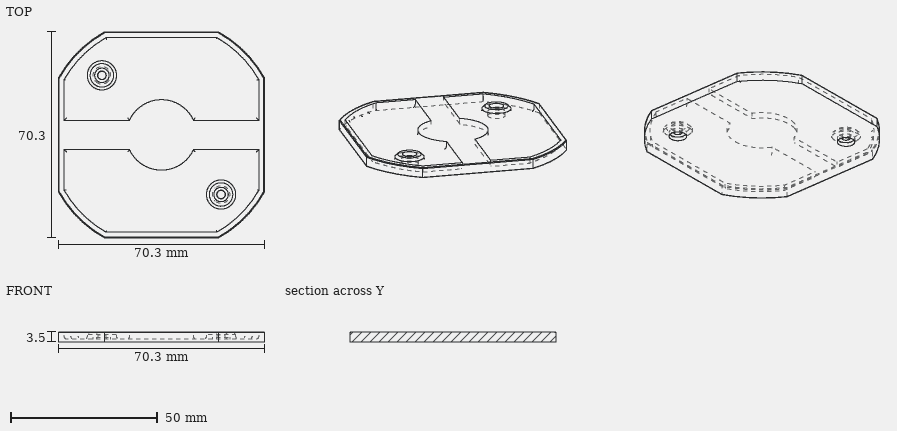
import cadquery as cq
import math

plate_width = 70.3
plate_height = 3.5
corner_radius = 40.15
edge_chamfer = 0.3

rim_width = 2.0
floor_thickness = 1.0
bar_width = 10.0
hub_diameter = 24.05
root_fillet = 1.0

boss_offset = 20.3
boss_diameter = 10.0
boss_chamfer = 1.0
hole_diameter = 2.8
countersink_diameter = 4.9
countersink_depth = 1.05
counterbore_diameter = 6.0
counterbore_depth = 1.5

pocket_depth = plate_height - floor_thickness
boss_centers = [(-boss_offset, boss_offset), (boss_offset, -boss_offset)]


def rounded_square(width, radius, height):
    """Square prism whose corners are cut by a cylinder about its axis."""
    square = cq.Workplane("XY").rect(width, width).extrude(height)
    cylinder = cq.Workplane("XY").circle(radius).extrude(height)
    return square.intersect(cylinder)


def plate_blank():
    plate = rounded_square(plate_width, corner_radius, plate_height)
    return plate.faces(">Z").chamfer(edge_chamfer)


def pocket_cutter():
    """Both pockets, split by the bar and hub, rounded where walls meet the floor."""
    inner_width = plate_width - 2 * rim_width
    cavity = rounded_square(inner_width, corner_radius - rim_width, pocket_depth)
    bar = cq.Workplane("XY").rect(plate_width, bar_width).extrude(pocket_depth)
    hub = cq.Workplane("XY").circle(hub_diameter / 2).extrude(pocket_depth)
    pockets = cavity.cut(bar.union(hub))
    pockets = pockets.faces("<Z").edges().fillet(root_fillet)
    return pockets.translate((0, 0, floor_thickness))


def boss():
    """Revolved boss with a fillet at its root and a chamfer at its top."""
    radius = boss_diameter / 2
    fillet_top = floor_thickness + root_fillet
    arc_inset = root_fillet * (1 - math.sqrt(0.5))
    profile = (
        cq.Workplane("XZ")
        .lineTo(radius + root_fillet, 0)
        .lineTo(radius + root_fillet, floor_thickness)
        .threePointArc((radius + arc_inset, floor_thickness + arc_inset), (radius, fillet_top))
        .lineTo(radius, plate_height - boss_chamfer)
        .lineTo(radius - boss_chamfer, plate_height)
        .lineTo(0, plate_height)
        .close()
    )
    return profile.revolve(360, (0, 0, 0), (0, 1, 0))


def screw_hole():
    """Through hole with a countersink at the top and a counterbore below."""
    radius = hole_diameter / 2
    profile = (
        cq.Workplane("XZ")
        .lineTo(counterbore_diameter / 2, 0)
        .lineTo(counterbore_diameter / 2, counterbore_depth)
        .lineTo(radius, counterbore_depth)
        .lineTo(radius, plate_height - countersink_depth)
        .lineTo(countersink_diameter / 2, plate_height)
        .lineTo(0, plate_height)
        .close()
    )
    return profile.revolve(360, (0, 0, 0), (0, 1, 0))


result = plate_blank().cut(pocket_cutter())
for x, y in boss_centers:
    result = result.union(boss().translate((x, y, 0)))
    result = result.cut(screw_hole().translate((x, y, 0)))